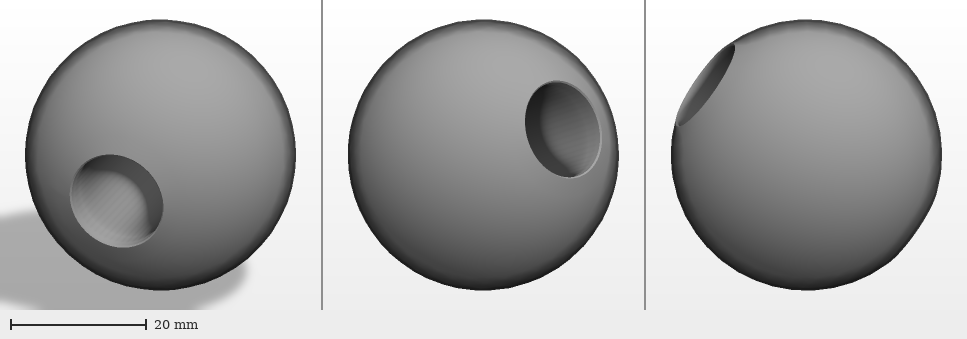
import cadquery as cq
import math

ball_diameter = 40.0
bore_diameter = 14.3
width_between_rims = 37.18
chamfer_angle = 45.0

ball_radius = ball_diameter / 2
bore_radius = bore_diameter / 2
rim_y = width_between_rims / 2
rim_radius = math.sqrt(ball_radius**2 - rim_y**2)
chamfer_depth = (rim_radius - bore_radius) / math.tan(math.radians(chamfer_angle))
bore_end_y = rim_y - chamfer_depth


def make_bored_ball():
    """Ball with a through bore along Y, chamfered at both ends, as one revolved section."""
    section = (
        cq.Workplane("XY")
        .moveTo(-bore_radius, -bore_end_y)
        .lineTo(-rim_radius, -rim_y)
        .threePointArc((-ball_radius, 0), (-rim_radius, rim_y))
        .lineTo(-bore_radius, bore_end_y)
        .close()
    )
    return section.revolve(360, (0, 0, 0), (0, 1, 0))


result = make_bored_ball()